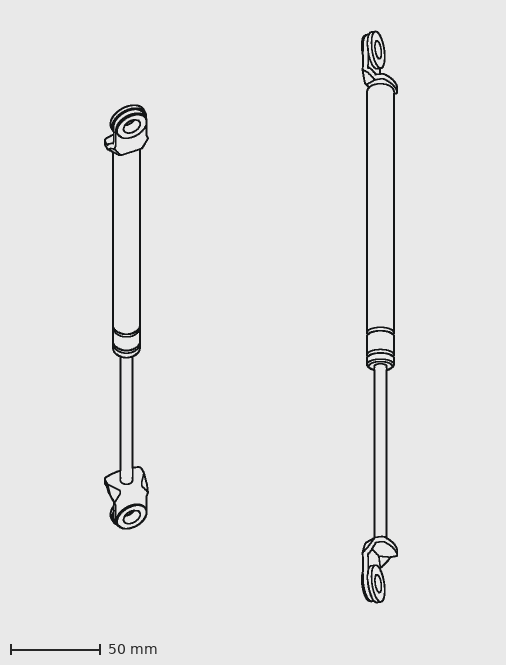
import cadquery as cq

half_length = 172.5

bushing_left = 1.5
bushing_right = 7.75
flange_radius = 10.5
lip_radius = 9.0
barrel_radius = 7.0
bolt_radius = 5.0
eye_z = half_length - flange_radius

sheet_left = 3.8
sheet_right = 7.0
eye_width = 18.5
base_width = 22.0
base_left = -7.75
base_side_left = -6.0
base_corner_radius = 2.0
base_bottom = 139.0
base_thickness = 3.0
base_top = base_bottom + base_thickness
web_foot_x = -1.7
web_top_z = 149.0
web_top_y = 10.0
web_root_y = 7.2
flare_top_z = 149.7
flare_bottom_z = 144.2
heel_radius = 1.7
facet_start_x = -1.0
facet_height = 7.0
facet_inset = 5.2
facet_top_inset = 1.5

tube_radius = 7.5
tube_bottom = -30.5
shoulder_radius = 3.0
tube_end_chamfer = 1.0
groove_centers = (-11.0, -24.5)
groove_radius = 1.0
rod_radius = 3.5


def cylinder_along_x(radius, x_start, x_end):
    return cq.Workplane("YZ", origin=(x_start, 0, eye_z)).circle(radius).extrude(x_end - x_start)


def outer_block(side, point_a, point_b, point_c):
    """Block on the outer side of the plane through three points; side is +1 or -1 in Y.

    The points are given for the +Y side.
    """
    a, b, c = (cq.Vector(x, side * y, z) for x, y, z in (point_a, point_b, point_c))
    normal = (b - a).cross(c - a)
    if normal.y * side < 0:
        normal = normal * -1
    plane = cq.Plane(origin=a, xDir=b - a, normal=normal)
    block_size = 2 * base_width
    return cq.Workplane(plane).rect(block_size, block_size).extrude(block_size)


def make_web(side):
    """Diagonal web that stiffens one side of the bend."""
    prism = (
        cq.Workplane("XZ")
        .polyline([(web_foot_x, base_top), (sheet_left, web_top_z), (sheet_left, base_top)])
        .close()
        .extrude(base_width / 2, both=True)
    )
    outer_region = outer_block(
        side,
        (web_foot_x, base_width / 2, base_top),
        (sheet_left, web_top_y, web_top_z),
        (sheet_left, web_root_y, base_top),
    )
    return prism.intersect(outer_region)


def heel_corner(side):
    """Material outside the bevelled outer corner of the bend, below a web."""
    return outer_block(
        side,
        (facet_start_x, base_width / 2, base_bottom),
        (sheet_right, base_width / 2 - facet_top_inset, base_bottom + facet_height),
        (sheet_right, base_width / 2 - facet_inset, base_bottom),
    )


def make_bushing():
    """Eye bushing with a wide flange and a smaller lip on either side of the sheet."""
    flange = cylinder_along_x(flange_radius, bushing_left, sheet_left)
    barrel = cylinder_along_x(barrel_radius, sheet_left, sheet_right)
    lip = cylinder_along_x(lip_radius, sheet_right, bushing_right)
    bolt_hole = cylinder_along_x(bolt_radius, bushing_left, bushing_right)
    return flange.union(barrel).union(lip).cut(bolt_hole)


def make_bracket():
    """Bent sheet with a base, an upright eye and a diagonal web at each side of the bend."""
    bent_sheet = (
        cq.Workplane("XZ")
        .moveTo(base_left, base_bottom)
        .lineTo(sheet_right - heel_radius, base_bottom)
        .radiusArc((sheet_right, base_bottom + heel_radius), -heel_radius)
        .lineTo(sheet_right, half_length)
        .lineTo(sheet_left, half_length)
        .lineTo(sheet_left, base_top)
        .lineTo(base_left, base_top)
        .close()
        .extrude(base_width / 2, both=True)
    )
    eye_outline = (
        cq.Workplane("YZ", origin=(base_left, 0, 0))
        .moveTo(-base_width / 2, base_bottom)
        .lineTo(base_width / 2, base_bottom)
        .lineTo(base_width / 2, flare_bottom_z)
        .lineTo(eye_width / 2, flare_top_z)
        .lineTo(eye_width / 2, eye_z)
        .threePointArc((0, eye_z + eye_width / 2), (-eye_width / 2, eye_z))
        .lineTo(-eye_width / 2, flare_top_z)
        .lineTo(-base_width / 2, flare_bottom_z)
        .close()
        .extrude(sheet_right - base_left)
    )
    plan_outline = (
        cq.Workplane("XY", origin=(0, 0, base_bottom))
        .moveTo(sheet_right, -base_width / 2)
        .lineTo(sheet_right, base_width / 2)
        .lineTo(base_side_left, base_width / 2)
        .threePointArc((base_left, 0), (base_side_left, -base_width / 2))
        .close()
        .extrude(half_length - base_bottom)
        .edges("|Z and (not >X)")
        .fillet(base_corner_radius)
    )
    for side in (-1, 1):
        bent_sheet = bent_sheet.union(make_web(side))
    bracket = bent_sheet.intersect(eye_outline).intersect(plan_outline)
    for side in (-1, 1):
        bracket = bracket.cut(heel_corner(side))
    return bracket.cut(cylinder_along_x(barrel_radius, sheet_left, sheet_right))


def make_tube():
    """Cylinder with a rolled shoulder, two crimped grooves and a chamfered rod end."""
    tube = (
        cq.Workplane("XY", origin=(0, 0, tube_bottom))
        .circle(tube_radius)
        .extrude(base_bottom - tube_bottom)
        .faces(">Z").edges().fillet(shoulder_radius)
        .faces("<Z").edges().chamfer(tube_end_chamfer)
    )
    for groove_z in groove_centers:
        tube = tube.cut(cq.Workplane(cq.Solid.makeTorus(tube_radius, groove_radius, cq.Vector(0, 0, groove_z))))
    return tube


def make_rod():
    """Rod from the lower end of the tube to the lower bracket."""
    return cq.Workplane("XY", origin=(0, 0, -base_bottom)).circle(rod_radius).extrude(base_bottom + tube_bottom)


tube = make_tube()
rod = make_rod()
bodies = [tube.val(), rod.val()]
for upper_part in (make_bracket(), make_bushing()):
    bodies.append(upper_part.val())
    bodies.append(upper_part.mirror("XY").val())

result = cq.Compound.makeCompound(bodies)